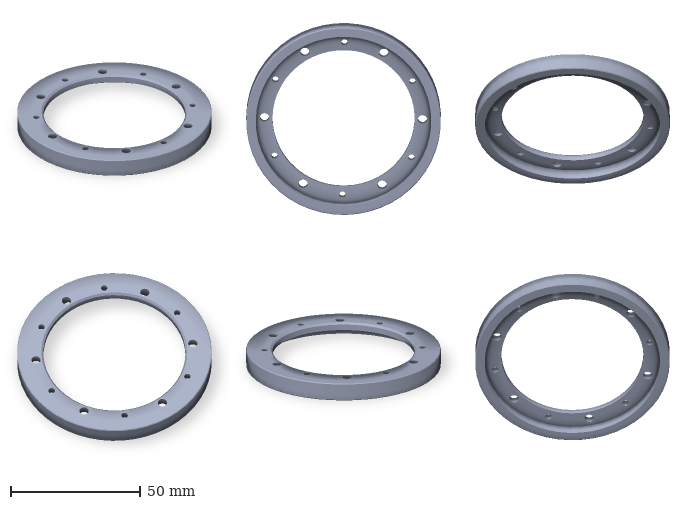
import cadquery as cq

outer_diameter = 75.35
bore_diameter = 55.0
thickness = 7.0
rim_chamfer = 0.3
bore_chamfer = 0.75

recess_diameter = 68.0
flange_thickness = 3.0

bolt_circle_diameter = 61.2
holes_per_set = 6
large_hole_diameter = 3.55
small_hole_diameter = 2.5
hole_pitch_angle = 360 / holes_per_set
small_hole_start_angle = hole_pitch_angle / 2


def ring_body():
    """Revolved ring, centred on Z, with chamfered rim edges and a chamfered upper bore edge."""
    bore = bore_diameter / 2
    recess = recess_diameter / 2
    outer = outer_diameter / 2
    top = thickness / 2
    bottom = -top
    flange_underside = top - flange_thickness
    section = [
        (bore, flange_underside),
        (bore, top - bore_chamfer),
        (bore + bore_chamfer, top),
        (outer - rim_chamfer, top),
        (outer, top - rim_chamfer),
        (outer, bottom + rim_chamfer),
        (outer - rim_chamfer, bottom),
        (recess, bottom),
        (recess, flange_underside),
    ]
    return cq.Workplane("XZ").polyline(section).close().revolve(360, (0, 0, 0), (0, 1, 0))


def hole_set(diameter, start_angle):
    """Cylinders for one set of evenly spaced through holes."""
    return (
        cq.Workplane("XY")
        .polarArray(bolt_circle_diameter / 2, start_angle, 360, holes_per_set)
        .circle(diameter / 2)
        .extrude(thickness, both=True)
    )


large_holes = hole_set(large_hole_diameter, 0)
small_holes = hole_set(small_hole_diameter, small_hole_start_angle)

result = ring_body().cut(large_holes).cut(small_holes)